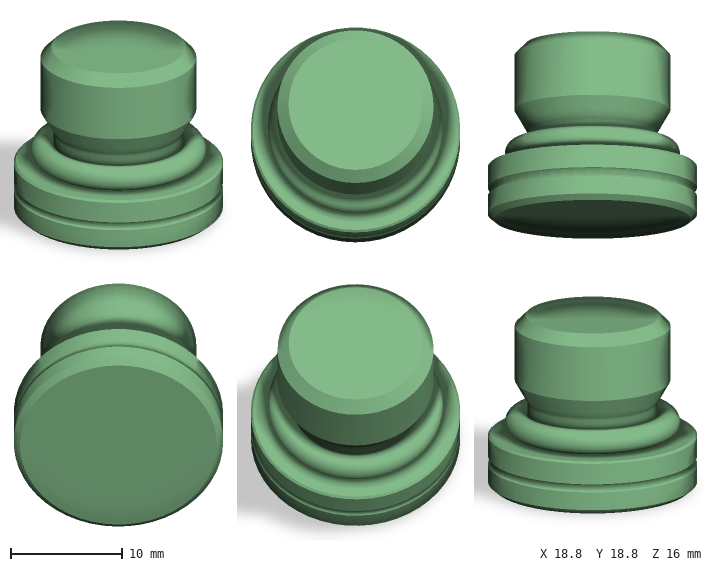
import cadquery as cq
import math

flange_radius = 9.4
flange_height = 4.98
flange_top_chamfer = 0.19
flange_bottom_chamfer_height = 0.47
flange_bottom_chamfer_width = 0.56
groove_bottom = 2.12
groove_width = 0.75
groove_depth = 0.25

neck_radius = 11.7 / 2
head_radius = 14.0 / 2
total_height = 16.0
head_bottom = 9.98
head_chamfer = 1.0
cone_angle = math.radians(30)
neck_fillet = 0.5

ring_outer_radius = 15.7 / 2
ring_section_radius = 2.2 / 2
ring_center_radius = ring_outer_radius - ring_section_radius
ring_center_height = flange_height + ring_section_radius


def make_ring():
    """O-ring of round section around the neck."""
    return (
        cq.Workplane("XZ")
        .center(ring_center_radius, ring_center_height)
        .circle(ring_section_radius)
        .revolve(360, (-ring_center_radius, 0), (-ring_center_radius, 1))
    )


def make_plug(ring):
    """Turned plug with a seat in its neck that matches the ring."""
    groove_middle = groove_bottom + groove_width / 2
    groove_top = groove_bottom + groove_width

    cone_height = (head_radius - neck_radius) / math.tan(cone_angle)
    cone_bottom = head_bottom - cone_height
    fillet_start = cone_bottom - neck_fillet * math.tan(cone_angle / 2)
    fillet_center_radius = neck_radius + neck_fillet

    def fillet_point(angle):
        return (
            fillet_center_radius - neck_fillet * math.cos(angle),
            fillet_start + neck_fillet * math.sin(angle),
        )

    plug = (
        cq.Workplane("XZ")
        .moveTo(0, 0)
        .lineTo(flange_radius - flange_bottom_chamfer_width, 0)
        .lineTo(flange_radius, flange_bottom_chamfer_height)
        .lineTo(flange_radius, groove_bottom)
        .threePointArc((flange_radius - groove_depth, groove_middle), (flange_radius, groove_top))
        .lineTo(flange_radius, flange_height - flange_top_chamfer)
        .lineTo(flange_radius - flange_top_chamfer, flange_height)
        .lineTo(neck_radius, flange_height)
        .lineTo(neck_radius, fillet_start)
        .threePointArc(fillet_point(cone_angle / 2), fillet_point(cone_angle))
        .lineTo(head_radius, head_bottom)
        .lineTo(head_radius, total_height - head_chamfer)
        .lineTo(head_radius - head_chamfer, total_height)
        .lineTo(0, total_height)
        .close()
        .revolve(360, (0, 0), (0, 1))
    )
    return plug.cut(ring).solids()


ring = make_ring()
plug = make_plug(ring)

result = cq.Compound.makeCompound([plug.val(), ring.val()])